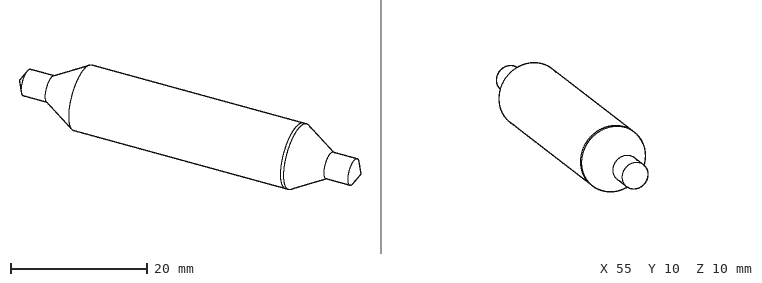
import cadquery as cq
import math

overall_length = 55.0
shank_radius = 5.0
pilot_radius = 2.05
pilot_length = 3.85
point_angle = 118.0
taper_angle = 60.0
collar_length = 0.5


def cone_length(radius_change, full_angle):
    """Axial length over which a cone changes its radius by the given amount."""
    return radius_change / math.tan(math.radians(full_angle / 2))


tip_x = overall_length / 2
point_base_x = tip_x - cone_length(pilot_radius, point_angle)
pilot_root_x = point_base_x - pilot_length
shoulder_x = pilot_root_x - cone_length(shank_radius - pilot_radius, taper_angle)
joint_x = shoulder_x - collar_length


def turned_end(inner_x, direction):
    """Pointed end from inner_x out to the tip, toward +X (direction 1) or -X (-1)."""
    half_profile = [
        (inner_x, 0),
        (inner_x, shank_radius),
        (direction * shoulder_x, shank_radius),
        (direction * pilot_root_x, pilot_radius),
        (direction * point_base_x, pilot_radius),
        (direction * tip_x, 0),
    ]
    return cq.Workplane("XY").polyline(half_profile).close().revolve(360, (0, 0, 0), (1, 0, 0))


main_body = turned_end(joint_x, -1)

end_piece = turned_end(joint_x, 1)

result = cq.Compound.makeCompound([main_body.val(), end_piece.val()])